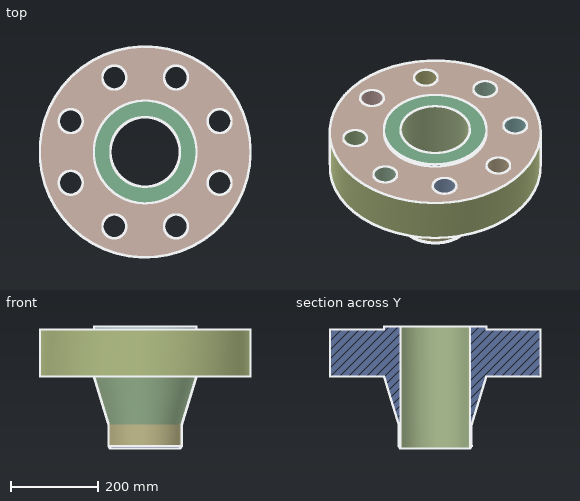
import cadquery as cq

total_height = 279.5
flange_diameter = 482.5
bore_diameter = 158.5

face_diameter = 235.0
face_height = 6.8
flange_thickness = 108.0

hub_diameter = 235.0
neck_diameter = 168.0
neck_length = 55.0
bevel_width = 4.0
bevel_height = 6.5

bolt_count = 8
bolt_circle_diameter = 368.0
bolt_hole_diameter = 54.0
bolt_start_angle = 180.0 / bolt_count

flange_top = total_height - face_height
flange_bottom = flange_top - flange_thickness


def make_body():
    """Revolve the half section, bore included, about the Z axis."""
    bore_radius = bore_diameter / 2
    face_radius = face_diameter / 2
    flange_radius = flange_diameter / 2
    hub_radius = hub_diameter / 2
    neck_radius = neck_diameter / 2
    section = [
        (bore_radius, 0),
        (neck_radius - bevel_width, 0),
        (neck_radius, bevel_height),
        (neck_radius, neck_length),
        (hub_radius, flange_bottom),
        (flange_radius, flange_bottom),
        (flange_radius, flange_top),
        (face_radius, flange_top),
        (face_radius, total_height),
        (bore_radius, total_height),
    ]
    return cq.Workplane("XZ").polyline(section).close().revolve(360, (0, 0), (0, 1))


def make_bolt_holes():
    """Cylinders through the flange disc on the bolt circle."""
    return (
        cq.Workplane("XY", origin=(0, 0, flange_bottom))
        .polarArray(bolt_circle_diameter / 2, bolt_start_angle, 360, bolt_count)
        .circle(bolt_hole_diameter / 2)
        .extrude(flange_thickness)
    )


result = make_body().cut(make_bolt_holes())